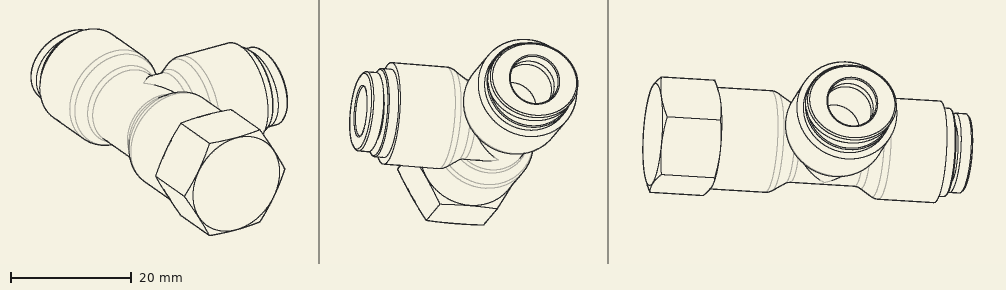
import cadquery as cq
import math

port_reach = 23.6
body_reach = 19.0
body_diameter = 16.9
waist_diameter = 13.1
shoulder_fillet = 2.0

port_shoulder_inner = 6.05
port_shoulder_outer = 9.0
hex_shoulder_inner = 5.9
hex_shoulder_outer = 8.95
hex_foot_fillet = 1.7

hex_flats = 17.0
hex_length = 10.0
hex_face_diameter = 16.9
hex_chamfer_angle = 20.0

ring_diameter = 14.7
ring_protrusion = 1.8
ring_edge_chamfer = 0.2

flange_width = 15.0
flange_height = 13.0
flange_thickness = 2.0
flange_edge_chamfer = 0.3
neck_diameter = 9.6
tube_bore = 8.2
mouth_chamfer = 0.2
bore_floor = port_shoulder_outer

ring_outer_face = body_reach + ring_protrusion
flange_back = port_reach - flange_thickness


def cylinder_x(diameter, start, end):
    return cq.Workplane("YZ", origin=(start, 0, 0)).circle(diameter / 2).extrude(end - start)


def turn_about_z(shape, degrees):
    return shape.rotate((0, 0, 0), (0, 0, 1), degrees)


port_directions = [180, 90]


def tee_arm(inner, outer, foot_fillet):
    """Solid arm from the tee centre to the body end, with its rounded conical shoulder."""
    waist = waist_diameter / 2
    socket = body_diameter / 2
    angle = math.atan2(socket - waist, outer - inner)

    def corner_arc(x, r, fillet, entry_angle, exit_angle, bend):
        """Start, middle and end of the fillet at corner (x, r); bend is 1 for hollow, -1 for bulging."""
        setback = fillet * math.tan(angle / 2)
        middle_gap = fillet * (1 / math.cos(angle / 2) - 1)
        middle_angle = angle / 2 + bend * math.pi / 2
        start = (x - setback * math.cos(entry_angle), r - setback * math.sin(entry_angle))
        middle = (x + middle_gap * math.cos(middle_angle), r + middle_gap * math.sin(middle_angle))
        end = (x + setback * math.cos(exit_angle), r + setback * math.sin(exit_angle))
        return start, middle, end

    foot_start, foot_middle, foot_end = corner_arc(inner, waist, foot_fillet, 0, angle, 1)
    top_start, top_middle, top_end = corner_arc(outer, socket, shoulder_fillet, angle, 0, -1)
    return (
        cq.Workplane("XY")
        .lineTo(0, waist)
        .lineTo(*foot_start)
        .threePointArc(foot_middle, foot_end)
        .lineTo(*top_start)
        .threePointArc(top_middle, top_end)
        .lineTo(body_reach, socket)
        .lineTo(body_reach, 0)
        .close()
        .revolve(360, (0, 0, 0), (1, 0, 0))
    )


def tube_socket():
    """Blind hole that continues the tube bore into the body."""
    return cylinder_x(tube_bore, bore_floor, body_reach)


body = tee_arm(hex_shoulder_inner, hex_shoulder_outer, hex_foot_fillet)
for direction in port_directions:
    port_arm = tee_arm(port_shoulder_inner, port_shoulder_outer, shoulder_fillet)
    body = body.union(turn_about_z(port_arm, direction))
for direction in port_directions:
    body = body.cut(turn_about_z(tube_socket(), direction))


def build_hex_end():
    corner_radius = hex_flats / math.sqrt(3)
    face_radius = hex_face_diameter / 2
    chamfer_depth = (corner_radius - face_radius) * math.tan(math.radians(hex_chamfer_angle))
    prism = (
        cq.Workplane("YZ", origin=(body_reach, 0, 0))
        .polygon(6, 2 * corner_radius)
        .extrude(hex_length)
    )
    chamfered_envelope = (
        cylinder_x(2 * corner_radius, body_reach, body_reach + hex_length)
        .edges()
        .chamfer(chamfer_depth, corner_radius - face_radius)
    )
    return prism.intersect(chamfered_envelope)


hex_end = build_hex_end()


def build_ring():
    ring = cylinder_x(ring_diameter, body_reach, ring_outer_face)
    ring = ring.faces(">X").edges().chamfer(ring_edge_chamfer)
    return ring.cut(cylinder_x(tube_bore, body_reach, ring_outer_face))


def build_collet():
    flange = (
        cq.Workplane("YZ", origin=(flange_back, 0, 0))
        .ellipse(flange_width / 2, flange_height / 2)
        .extrude(flange_thickness)
        .faces(">X")
        .edges()
        .chamfer(flange_edge_chamfer)
    )
    neck = cylinder_x(neck_diameter, ring_outer_face, flange_back)
    bore = cylinder_x(tube_bore, ring_outer_face, port_reach)
    collet = flange.union(neck).cut(bore)
    mouth = collet.faces(">X").edges(cq.selectors.RadiusNthSelector(0))
    return mouth.chamfer(mouth_chamfer)


rings = []
collets = []
for direction in port_directions:
    rings.append(turn_about_z(build_ring(), direction))
    collets.append(turn_about_z(build_collet(), direction))

solids = [body.val(), hex_end.val()]
for part in rings + collets:
    solids.append(part.val())
result = cq.Compound.makeCompound(solids)